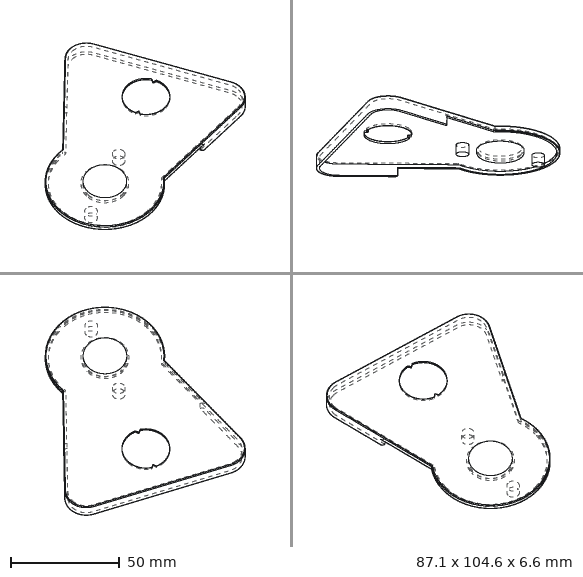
import cadquery as cq
import math

LENGTH = 104.6
WIDTH = 87.1
HEIGHT = 6.6

PLATE_THICKNESS = 2.5
LID_THICKNESS = 1.0
DISC_RADIUS = 27.5
CORNER_RADIUS = 9.9
WAIST_Y = 11.6
TOP_CHAMFER = 0.4
DISC_BOTTOM_CHAMFER = 0.26

WALL_THICKNESS = 1.5
WALL_LENGTH = 38.8
WALL_END_RADIUS = 1.3

HOLE_RADIUS = 11.0
HOLE_Y = 55.0
KEY_HEIGHT = 1.5
KEY_WIDTH = 2.5

RECESS_RADIUS = 10.0
RECESS_DEPTH = 2.6
RECESS_FILLET = 0.7
CUP_WALL = 0.9

PIN_RADIUS = 2.9
PIN_DEPTH = 3.1
PIN_OFFSET = 18.5

LID_BOTTOM_Z = PLATE_THICKNESS - LID_THICKNESS
BACK_Y = LENGTH - DISC_RADIUS
CORNER_X = WIDTH / 2 - CORNER_RADIUS
CORNER_Y = BACK_Y - CORNER_RADIUS
WAIST_X = math.sqrt(DISC_RADIUS**2 - WAIST_Y**2)
RECESS_FLOOR_Z = PLATE_THICKNESS - RECESS_DEPTH
WALL_BOTTOM_Z = PLATE_THICKNESS - HEIGHT


def corner_point(angle):
    """Point on the right-hand corner arc; the angle is measured from +X."""
    return (
        CORNER_X + CORNER_RADIUS * math.cos(angle),
        CORNER_Y + CORNER_RADIUS * math.sin(angle),
    )


def mirrored(point):
    return (-point[0], point[1])


def side_normal_angle():
    """Direction of the outward normal of the side that runs from the waist tangent to the corner."""
    run_x = CORNER_X - WAIST_X
    run_y = CORNER_Y - WAIST_Y
    bearing = math.atan2(run_y, run_x)
    return bearing - math.acos(-CORNER_RADIUS / math.hypot(run_x, run_y))


def plate_outline():
    """Round end joined at the waist to a flared end with two round corners."""
    side_angle = side_normal_angle()
    waist = (WAIST_X, WAIST_Y)
    side_end = corner_point(side_angle)
    corner_middle = corner_point((side_angle + math.pi / 2) / 2)
    back_end = corner_point(math.pi / 2)
    return (
        cq.Workplane("XY")
        .moveTo(*waist)
        .lineTo(*side_end)
        .threePointArc(corner_middle, back_end)
        .lineTo(*mirrored(back_end))
        .threePointArc(mirrored(corner_middle), mirrored(side_end))
        .lineTo(*mirrored(waist))
        .threePointArc((0, -DISC_RADIUS), waist)
        .close()
    )


def plate():
    """Thin lid with a short rim around its edge, bevelled above and under the round end."""
    body = plate_outline().extrude(PLATE_THICKNESS)
    body = body.faces(">Z").chamfer(TOP_CHAMFER)
    body = body.faces("<Z").edges("<Y").chamfer(DISC_BOTTOM_CHAMFER)
    hollow = plate_outline().offset2D(-WALL_THICKNESS).extrude(LID_BOTTOM_Z)
    return body.cut(hollow)


def deep_wall():
    """Wall following the outline around the wide end, with rounded outer edges at its two free ends."""
    outer = plate_outline().extrude(WALL_BOTTOM_Z)
    inner = plate_outline().offset2D(-WALL_THICKNESS).extrude(WALL_BOTTOM_Z)
    wide_end = (
        cq.Workplane("XY")
        .center(0, BACK_Y - WALL_LENGTH / 2)
        .rect(WIDTH, WALL_LENGTH)
        .extrude(WALL_BOTTOM_Z)
    )
    wall = outer.intersect(wide_end).cut(inner)
    free_ends = wall.faces("<Y")
    return free_ends.edges("|Z and (<X or >X)").fillet(WALL_END_RADIUS)


def keyed_hole():
    """Cutter for the through hole, less the two pointed keys left standing along Y."""
    cutter = cq.Workplane("XY").center(0, HOLE_Y).circle(HOLE_RADIUS).extrude(PLATE_THICKNESS)
    for side in (1, -1):
        key = (
            cq.Workplane("XY")
            .moveTo(0, HOLE_Y + side * (HOLE_RADIUS - KEY_HEIGHT))
            .lineTo(KEY_WIDTH / 2, HOLE_Y + side * HOLE_RADIUS)
            .lineTo(-KEY_WIDTH / 2, HOLE_Y + side * HOLE_RADIUS)
            .close()
            .extrude(PLATE_THICKNESS)
        )
        cutter = cutter.cut(key)
    return cutter


def rounded_disc(radius, top_z, bottom_z, fillet):
    disc = cq.Workplane("XY", origin=(0, 0, bottom_z)).circle(radius).extrude(top_z - bottom_z)
    return disc.faces("<Z").edges().fillet(fillet)


def recess():
    return rounded_disc(RECESS_RADIUS, PLATE_THICKNESS, RECESS_FLOOR_Z, RECESS_FILLET)


def cup():
    """Shell of even thickness around the recess."""
    bottom_z = RECESS_FLOOR_Z - CUP_WALL
    return rounded_disc(RECESS_RADIUS + CUP_WALL, LID_BOTTOM_Z, bottom_z, RECESS_FILLET + CUP_WALL)


def pins():
    places = [(0, -PIN_OFFSET), (0, PIN_OFFSET)]
    base = cq.Workplane("XY", origin=(0, 0, -PIN_DEPTH))
    return base.pushPoints(places).circle(PIN_RADIUS).extrude(PIN_DEPTH + LID_BOTTOM_Z)


result = plate().union(deep_wall()).union(cup()).union(pins()).cut(keyed_hole()).cut(recess())